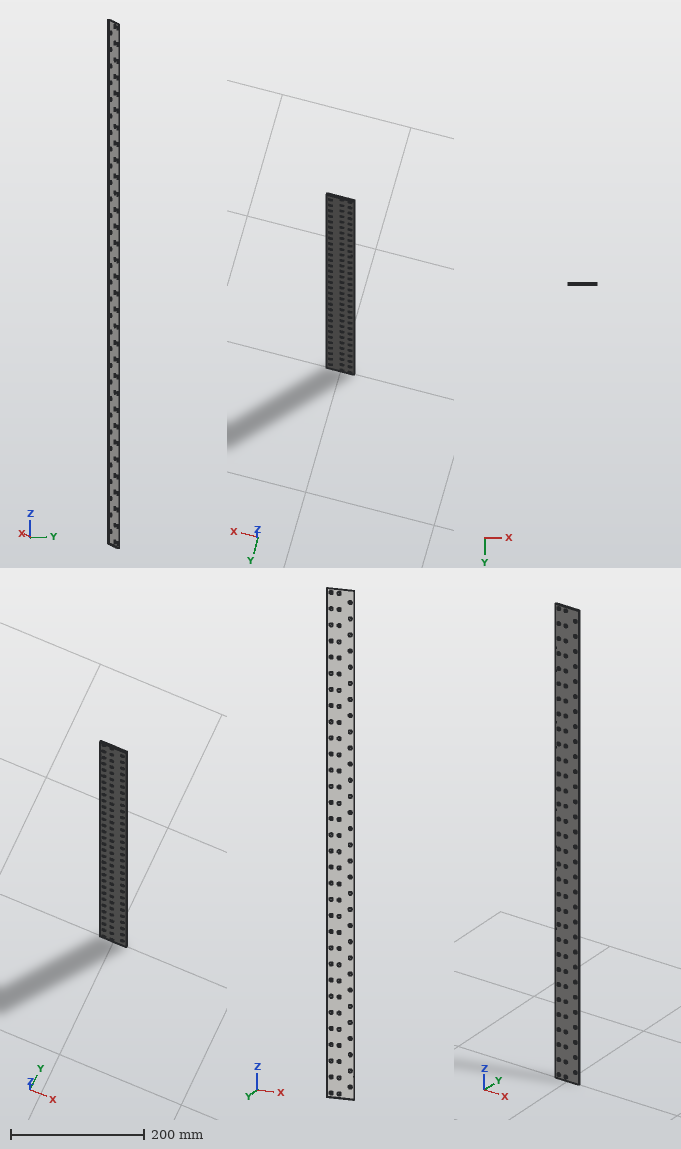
import cadquery as cq

length = 800.0
width = 43.0
thickness = 3.05

hole_diameter = 5.2
hole_count = 32
end_margin = 6.5
side_margin = 6.5
inner_row_x = -2.5
outer_row_x = width / 2 - side_margin
pitch = (length - 2 * end_margin) / (hole_count - 1)


def hole_row(x, count):
    """Centres of a vertical row of evenly pitched holes, centred on the strip's length."""
    first_z = -pitch * (count - 1) / 2
    return [(x, first_z + pitch * i) for i in range(count)]


hole_centres = hole_row(-outer_row_x, hole_count) + hole_row(inner_row_x, hole_count)
hole_centres += hole_row(outer_row_x, hole_count - 1)

strip = cq.Workplane("XZ").box(width, length, thickness)
holes = (
    cq.Workplane("XZ")
    .pushPoints(hole_centres)
    .circle(hole_diameter / 2)
    .extrude(thickness, both=True)
)

result = strip.cut(holes)